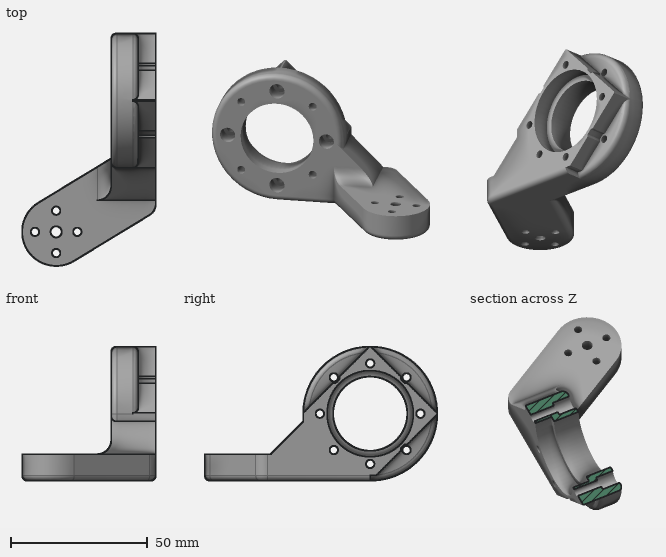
import cadquery as cq
import math

wall_back = 48.95
wall_thickness = 16.4
wall_front = wall_back - wall_thickness
ring_radius = 49.0 / 2
ring_y = 85 - ring_radius
ring_z = ring_radius
ring_side = ring_y - ring_radius
ring_thickness = 9.95
ring_back = wall_front + ring_thickness
edge_radius = 2.0

arm_radius = 12.5
arm_height = 9.8
arm_angle = math.radians(31.3)
arm_corner_radius = 5.0
root_radius = 5.0
arm_hole_circle = 7.7
arm_center_hole = 4.0

gusset_top = 21.7
gusset_foot_y = ring_side - (gusset_top - arm_height)

pad_corner_flat = 0.5
pad_half_width = (ring_radius + pad_corner_flat / 2) / math.sqrt(2)
notch_mouth = 3.6
notch_depth = 0.7
notch_floor = notch_mouth - 2 * notch_depth

bore_diameter = 27.0
recess_diameter = 31.5
small_hole = 3.0
counterbore_diameter = 5.6
counterbore_depth = 6.8
counterbore_circle = 18.4
diagonal_hole_circle = 18.8


def ring_plane(x):
    """YZ plane at the given X, centred on the ring axis."""
    return cq.Workplane("YZ", origin=(x, ring_y, ring_z))


def arm_edge_point(side, x):
    """Point at x on the straight arm edge: side +1 is the +Y edge, -1 the -Y edge."""
    offset = side * arm_radius / math.cos(arm_angle)
    return (x, arm_radius + offset + (x - arm_radius) * math.tan(arm_angle))


def arm_tangent_point(side):
    """Point where the round arm end meets a straight edge."""
    return (
        arm_radius - side * arm_radius * math.sin(arm_angle),
        arm_radius + side * arm_radius * math.cos(arm_angle),
    )


def make_arm_outline(height):
    """Arm plan, continued under the wall as far as the ring axis."""
    end_tip = (
        arm_radius - arm_radius * math.cos(arm_angle),
        arm_radius - arm_radius * math.sin(arm_angle),
    )
    arm = (
        cq.Workplane("XY")
        .moveTo(*arm_tangent_point(1))
        .threePointArc(end_tip, arm_tangent_point(-1))
        .lineTo(*arm_edge_point(-1, wall_back))
        .lineTo(wall_back, ring_y)
        .lineTo(wall_front, ring_y)
        .lineTo(*arm_edge_point(1, wall_front))
        .close()
        .extrude(height)
    )
    corner_x, corner_y = arm_edge_point(-1, wall_back)
    corner = cq.selectors.NearestToPointSelector((corner_x, corner_y, height / 2))
    return arm.edges(corner).fillet(arm_corner_radius)


def make_arm():
    under_wall_end = cq.selectors.NearestToPointSelector(
        ((wall_front + wall_back) / 2, ring_y, 0)
    )
    arm = make_arm_outline(arm_height)
    bottom_edges = arm.faces("<Z").edges()
    open_edge = arm.edges(under_wall_end)
    return arm.newObject(
        [edge for edge in bottom_edges.vals() if not edge.isSame(open_edge.val())]
    ).fillet(edge_radius)


def make_ring():
    """Disc whose lower -Y quadrant is squared off down into the arm."""
    floor = arm_height / 2 - ring_z
    diagonal = ring_radius / math.sqrt(2)
    ring = (
        ring_plane(wall_front)
        .moveTo(0, -ring_radius)
        .threePointArc((diagonal, -diagonal), (ring_radius, 0))
        .threePointArc((0, ring_radius), (-ring_radius, 0))
        .lineTo(-ring_radius, floor)
        .lineTo(0, floor)
        .close()
        .extrude(ring_thickness)
    )
    rounded = ring.faces("<X").edges("%CIRCLE or <Y").add(ring.faces(">X").edges("%CIRCLE"))
    return rounded.fillet(edge_radius)


def make_quadrant_backing():
    """Full-depth block behind the squared-off quadrant."""
    back_depth = wall_back - ring_back + edge_radius
    return (
        ring_plane(ring_back - edge_radius)
        .moveTo(0, 0)
        .lineTo(-ring_radius, 0)
        .lineTo(-ring_radius, arm_height / 2 - ring_z)
        .lineTo(0, arm_height / 2 - ring_z)
        .close()
        .extrude(back_depth)
    )


def make_pad():
    pad_start = ring_back - edge_radius
    pad = (
        ring_plane(pad_start)
        .transformed(rotate=(0, 0, 45))
        .rect(2 * pad_half_width, 2 * pad_half_width)
        .extrude(wall_back - pad_start)
    )
    envelope = (
        ring_plane(pad_start)
        .rect(2 * ring_radius, 2 * ring_radius)
        .extrude(wall_back - pad_start)
    )
    pad = pad.intersect(envelope)
    for angle in (-45, 45, 135):
        notch = (
            ring_plane(ring_back)
            .transformed(rotate=(0, 0, angle - 180))
            .moveTo(-pad_half_width, -notch_mouth / 2)
            .lineTo(-pad_half_width + notch_depth, -notch_floor / 2)
            .lineTo(-pad_half_width + notch_depth, notch_floor / 2)
            .lineTo(-pad_half_width, notch_mouth / 2)
            .close()
            .extrude(wall_back - ring_back)
        )
        pad = pad.cut(notch)
    corner_cut = (
        cq.Workplane("XY", origin=(pad_start, ring_side, 0))
        .box(wall_back - pad_start, 2 * ring_radius, edge_radius, centered=False)
    )
    return pad.cut(corner_cut)


def make_gusset():
    """Sloped gusset plus the concave root where the wall meets the arm."""
    inner_y = arm_edge_point(1, wall_front)[1]
    slope_end_y = ring_side + edge_radius
    seat_z = arm_height / 2
    side = (
        cq.Workplane("YZ")
        .moveTo(gusset_foot_y, seat_z)
        .lineTo(gusset_foot_y, arm_height)
        .lineTo(slope_end_y, gusset_top + edge_radius)
        .lineTo(inner_y, gusset_top + edge_radius)
        .lineTo(inner_y, seat_z)
        .close()
        .extrude(wall_back)
    )
    root_x = wall_front - root_radius
    root_z = arm_height + root_radius
    arc_mid = root_radius / math.sqrt(2)
    front = (
        cq.Workplane("XZ")
        .moveTo(root_x, seat_z)
        .lineTo(root_x, arm_height)
        .threePointArc((root_x + arc_mid, root_z - arc_mid), (wall_front, root_z))
        .lineTo(wall_front, ring_z)
        .lineTo(wall_back, ring_z)
        .lineTo(wall_back, seat_z)
        .close()
        .extrude(-ring_y)
    )
    return side.intersect(front).intersect(make_arm_outline(ring_z))


def wall_holes(x, diameter, depth, circle_radius, start_angle):
    return (
        ring_plane(x)
        .polarArray(circle_radius, start_angle, 360, 4)
        .circle(diameter / 2)
        .extrude(depth)
    )


def arm_holes():
    arm_plane = cq.Workplane("XY", origin=(arm_radius, arm_radius, 0))
    outer = arm_plane.polarArray(arm_hole_circle, 0, 360, 4).circle(small_hole / 2).extrude(arm_height)
    center = arm_plane.circle(arm_center_hole / 2).extrude(arm_height)
    return outer.union(center)


result = (
    make_arm()
    .union(make_ring())
    .union(make_quadrant_backing())
    .union(make_pad())
    .union(make_gusset())
)
result = (
    result.cut(ring_plane(wall_front).circle(bore_diameter / 2).extrude(wall_thickness))
    .cut(ring_plane(ring_back).circle(recess_diameter / 2).extrude(wall_back - ring_back))
    .cut(wall_holes(wall_front, small_hole, wall_thickness, counterbore_circle, 0))
    .cut(wall_holes(wall_front, counterbore_diameter, counterbore_depth, counterbore_circle, 0))
    .cut(wall_holes(wall_front, small_hole, wall_thickness, diagonal_hole_circle, 45))
    .cut(arm_holes())
)